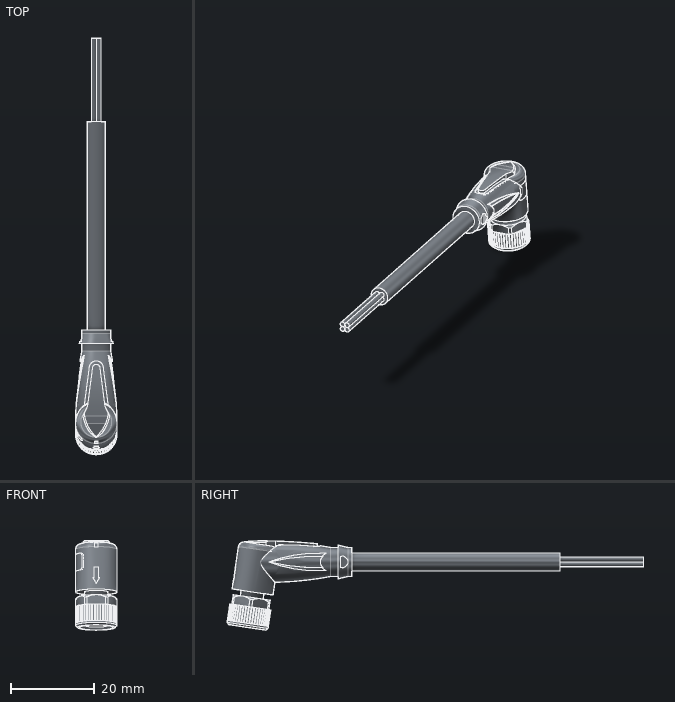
import cadquery as cq
import math


overall_length = 100.1
wire_length = 20.0
cable_length = 50.0
plug_tilt = 8.5
head_radius = 5.0
cable_radius = 2.2
wire_radius = 0.6
wires_per_side = 2

head_top = 4.3
head_bottom = -7.3
nut_top = -8.6
hex_bottom = -10.9
nut_bottom = -15.9
carrier_bottom = -15.4

nut_radius = head_radius
nut_chamfer = 0.5
nut_bore_radius = 4.0
nut_roof = 1.0
hex_across_flats = 9.0
hex_turn = 30.0
groove_count = 48
groove_radius = 0.22
carrier_radius = 2.8
carrier_depth_in_head = 3.0

tilt = math.radians(plug_tilt)
front_reach = nut_radius * math.cos(tilt) + (-nut_bottom - nut_chamfer) * math.sin(tilt)
wire_end = overall_length - front_reach
cable_end = wire_end - wire_length
housing_rear = cable_end - cable_length

collar_radius = 3.5
collar_ring_length = 0.9
flange_radius = 4.1
flange_length = 2.4
collar_length = 5.1
grip_middle = 8.8
grip_middle_radius = 4.7
grip_front_radius = 4.9
head_round = 1.3
oversize = 20.0

flange_notch_width = 2.5
flange_lip = 0.5
flange_notch_length = 2.0

tongue_rear = 13.6
tongue_rear_half_width = 0.9
tongue_half_width = 2.1
tongue_groove_front = 4.4
shield_rear = 2.1
shield_level_end = 0.3
shield_half_width = 3.2
shield_fullness = 0.7
shield_front = -3.5
tongue_rear_height = 4.4
tongue_middle = 8.0
tongue_middle_height = 4.9
tongue_height = 5.1
tongue_front_height = 4.9
tongue_base = 2.0
tongue_chamfer = 0.4
groove_width = 0.8
groove_depth = 0.3

recess_front = 2.9
recess_rear = 15.2
outer_recess_rear = 16.6
outer_recess_half_height = 2.1
outer_recess_depth = 0.15
inner_recess_rear = 15.8
inner_recess_half_height = 1.3
inner_recess_depth = 0.3
recess_fullness = 0.85

arrow_top = -2.0
arrow_shoulder = -4.5
arrow_tip = -5.9
arrow_half_width = 0.5
arrow_head_half_width = 0.8
mark_depth = 0.15
top_notch_width = 0.9
top_notch_bottom = 2.9
top_notch_depth = 0.4

plate_front = -3.6
plate_rear = 2.1
plate_top = 1.7
plate_bottom = -2.4
plate_thickness = 0.3
plate_corner_radius = 0.5


def tilt_plug(body):
    """Turn a body from the plug frame to its tilted place."""
    return body.rotate((0, 0, 0), (1, 0, 0), -plug_tilt)


def plug_cylinder(radius, bottom, top):
    """Cylinder on the plug axis, in the plug frame."""
    return cq.Workplane("XY").workplane(offset=bottom).circle(radius).extrude(top - bottom)


def grip_cone(inset=0.0):
    """Body of revolution along the cable axis, widening from the collar to the head."""
    grip_rear = housing_rear - collar_length
    return (
        cq.Workplane("XY")
        .moveTo(0, 0)
        .lineTo(0, housing_rear)
        .lineTo(collar_radius - inset, housing_rear)
        .lineTo(collar_radius - inset, grip_rear)
        .threePointArc((grip_middle_radius - inset, grip_middle), (grip_front_radius - inset, 0))
        .close()
        .revolve(360, (0, 0, 0), (0, 1, 0))
    )


def flange():
    """Conical flange on the collar, with a notch in each side."""
    rear = housing_rear - collar_ring_length
    front = rear - flange_length
    cone = (
        cq.Workplane("XY")
        .polyline([(0, rear), (collar_radius, rear), (flange_radius, front), (0, front)])
        .close()
        .revolve(360, (0, 0, 0), (0, 1, 0))
    )
    notch_front = front + flange_lip
    notches = (
        cq.Workplane("YZ")
        .moveTo(notch_front, -flange_notch_width / 2)
        .lineTo(notch_front, flange_notch_width / 2)
        .threePointArc((notch_front + flange_notch_length, 0), (notch_front, -flange_notch_width / 2))
        .close()
        .extrude(flange_radius, both=True)
    )
    core = cq.Workplane("XY").box(2 * collar_radius, 2 * rear, 2 * collar_radius)
    return cone.cut(notches.cut(core))


def tongue_outline(margin=0.0):
    """Plan outline of the tongue: round at the rear, widening to a shield with a pointed front."""
    shield_middle = (shield_rear + shield_front) / 2
    shield_middle_half_width = shield_fullness * shield_half_width
    rear_half = tongue_rear_half_width + margin
    half = tongue_half_width + margin
    return (
        cq.Workplane("XY")
        .moveTo(-rear_half, tongue_rear)
        .threePointArc((0, tongue_rear + rear_half), (rear_half, tongue_rear))
        .lineTo(half, tongue_groove_front)
        .lineTo(shield_half_width, shield_rear)
        .threePointArc((shield_middle_half_width, shield_middle), (0, shield_front))
        .threePointArc((-shield_middle_half_width, shield_middle), (-shield_half_width, shield_rear))
        .lineTo(-half, tongue_groove_front)
        .close()
    )


def tongue():
    """Raised tongue, limited above by its side profile."""
    rear_end = tongue_rear + tongue_rear_half_width
    profile = (
        cq.Workplane("YZ")
        .moveTo(rear_end, tongue_base)
        .lineTo(rear_end, tongue_rear_height)
        .threePointArc((tongue_middle, tongue_middle_height), (shield_rear, tongue_height))
        .lineTo(shield_level_end, tongue_height)
        .lineTo(shield_front, tongue_front_height)
        .lineTo(shield_front, tongue_base)
        .close()
        .extrude(head_radius, both=True)
    )
    solid = tongue_outline().extrude(oversize).intersect(profile)
    return solid.faces("+Z or >Z").edges("not |X").chamfer(tongue_chamfer)


def tongue_groove():
    """Groove around the rear of the tongue, of even depth below the grip surface."""
    behind_front = (
        cq.Workplane("XY")
        .box(oversize, oversize, oversize, centered=(True, False, False))
        .translate((0, tongue_groove_front, 0))
    )
    groove = tongue_outline(groove_width).extrude(oversize)
    return groove.intersect(behind_front).cut(grip_cone(groove_depth))


def recess_step(half_height, rear, depth):
    """One step of the +X side recess, of even depth below the grip surface."""
    middle = (recess_front + rear) / 2
    middle_height = recess_fullness * half_height
    return (
        cq.Workplane("YZ", origin=(head_radius, 0, 0))
        .moveTo(recess_front, 0)
        .threePointArc((middle, middle_height), (rear, half_height))
        .threePointArc((recess_rear, 0), (rear, -half_height))
        .threePointArc((middle, -middle_height), (recess_front, 0))
        .close()
        .extrude(-head_radius / 2)
        .cut(grip_cone(depth))
    )


def side_recesses():
    """The two-step recesses in both sides of the grip."""
    outer = recess_step(outer_recess_half_height, outer_recess_rear, outer_recess_depth)
    inner = recess_step(inner_recess_half_height, inner_recess_rear, inner_recess_depth)
    recess = outer.union(inner)
    return recess.union(recess.mirror("YZ"))


def front_marks():
    """Arrow recess and top notch on the front of the head, in the plug frame."""
    arrow = (
        cq.Workplane("XZ")
        .polyline([
            (-arrow_half_width, arrow_top),
            (arrow_half_width, arrow_top),
            (arrow_half_width, arrow_shoulder),
            (arrow_head_half_width, arrow_shoulder),
            (0, arrow_tip),
            (-arrow_head_half_width, arrow_shoulder),
            (-arrow_half_width, arrow_shoulder),
        ])
        .close()
        .extrude(2 * head_radius)
        .cut(plug_cylinder(head_radius - mark_depth, head_bottom, head_top))
    )
    notch = (
        cq.Workplane("XZ", origin=(0, -head_radius + top_notch_depth, 0))
        .rect(top_notch_width, 2 * (head_top - top_notch_bottom))
        .extrude(head_radius)
        .translate((0, 0, head_top))
    )
    return arrow.union(notch)


def make_housing():
    """Complete moulded housing, with a bore for the carrier."""
    head = plug_cylinder(head_radius, head_bottom, head_top).faces(">Z").edges().fillet(head_round)
    above_head = plug_cylinder(head_radius, head_top - head_round, oversize)
    body = grip_cone().cut(tilt_plug(above_head)).union(tilt_plug(head))
    body = body.union(flange()).cut(tongue_groove()).cut(side_recesses()).union(tongue())
    bore = plug_cylinder(carrier_radius, head_bottom, head_bottom + carrier_depth_in_head)
    return body.cut(tilt_plug(front_marks())).cut(tilt_plug(bore))


def plate_prism():
    """Prism covering the plate, down to a cylinder under the head surface."""
    return tilt_plug(
        cq.Workplane("YZ")
        .center((plate_front + plate_rear) / 2, (plate_top + plate_bottom) / 2)
        .rect(plate_rear - plate_front, plate_top - plate_bottom)
        .extrude(-2 * head_radius)
        .edges("|X")
        .fillet(plate_corner_radius)
        .cut(plug_cylinder(head_radius - plate_thickness, head_bottom, head_top))
    )


def make_carrier():
    """Round contact carrier joining the housing and the nut."""
    return tilt_plug(plug_cylinder(carrier_radius, carrier_bottom, head_bottom + carrier_depth_in_head))


def make_nut():
    """Coupling nut: hexagon above, grooved grip ring below, open at the bottom."""
    hexagon = (
        cq.Workplane("XY")
        .workplane(offset=hex_bottom)
        .polygon(6, hex_across_flats, circumscribed=True)
        .extrude(nut_top - hex_bottom)
        .rotate((0, 0, 0), (0, 0, 1), hex_turn)
        .intersect(plug_cylinder(nut_radius, hex_bottom, nut_top).faces(">Z").chamfer(nut_chamfer))
    )
    ring = plug_cylinder(nut_radius, nut_bottom, hex_bottom).faces("<Z").chamfer(nut_chamfer)
    groove_bottom = nut_bottom + 2 * nut_chamfer
    grooves = (
        cq.Workplane("XY")
        .workplane(offset=groove_bottom)
        .polarArray(nut_radius, 0, 360, groove_count)
        .circle(groove_radius)
        .extrude(hex_bottom - groove_bottom)
    )
    nut = ring.cut(grooves).union(hexagon)
    nut = nut.cut(plug_cylinder(nut_bore_radius, nut_bottom, nut_top - nut_roof))
    return tilt_plug(nut.cut(plug_cylinder(carrier_radius, nut_bottom, nut_top)))


def make_cable():
    """Cable jacket, from the housing to the wires."""
    return cq.Workplane("XZ", origin=(0, cable_end, 0)).circle(cable_radius).extrude(cable_length)


def make_wires():
    """Square bundle of touching wires beyond the end of the cable."""
    wires = []
    for column in range(wires_per_side):
        for row in range(wires_per_side):
            x = (2 * column + 1 - wires_per_side) * wire_radius
            z = (2 * row + 1 - wires_per_side) * wire_radius
            wire = cq.Workplane("XZ", origin=(x, wire_end, z)).circle(wire_radius).extrude(wire_length)
            wires.append(wire)
    return wires


full_housing = make_housing()
prism = plate_prism()
plate = prism.intersect(full_housing)
housing = full_housing.cut(prism)
carrier = make_carrier()
nut = make_nut()
cable = make_cable()
wires = make_wires()

result = cq.Compound.makeCompound([
    housing.val(),
    plate.val(),
    carrier.val(),
    nut.val(),
    cable.val(),
    *[wire.val() for wire in wires],
])